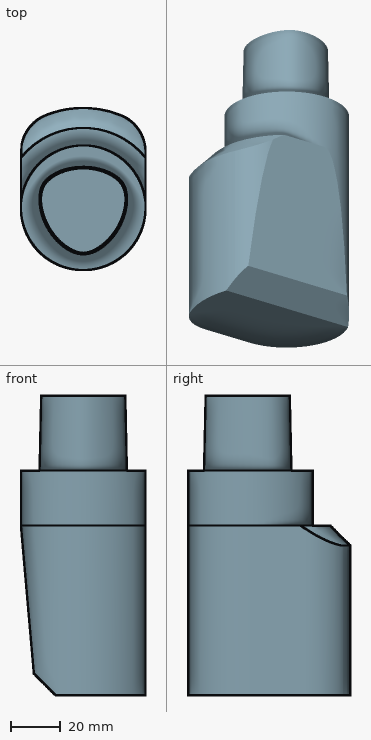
import cadquery as cq
import math


shank_length = 30.0
shank_base_width = 35.1
shank_taper_angle = 1.25
shank_eccentricity = 1.12
shank_corner_angle = -90.0

collar_diameter = 49.98
collar_height = 22.0

body_height = 68.0
body_width = 50.0
body_back_radius = 40.0
body_corner_radius = 16.0

bevel_top_radius = 32.0

side_flat_angle = 5.0
lower_bevel_width = 14.0

body_top_z = -collar_height
body_bottom_z = body_top_z - body_height
body_half_width = body_width / 2


def shank_outline(width, z):
    """Constant-width rounded triangle at height z, as a function of a parameter from 0 to 1."""
    turn = math.radians(shank_corner_angle + 180)

    def point(t):
        angle = 2 * math.pi * t
        support = width / 2 - shank_eccentricity * math.cos(3 * angle)
        slope = 3 * shank_eccentricity * math.sin(3 * angle)
        return (
            support * math.cos(angle + turn) - slope * math.sin(angle + turn),
            support * math.sin(angle + turn) + slope * math.cos(angle + turn),
            z,
        )

    return point


def make_shank():
    top_width = shank_base_width - 2 * shank_length * math.tan(math.radians(shank_taper_angle))
    return (
        cq.Workplane("XY")
        .parametricCurve(shank_outline(shank_base_width, 0.0))
        .parametricCurve(shank_outline(top_width, shank_length))
        .loft(ruled=True)
    )


def make_collar():
    return cq.Workplane("XY").circle(collar_diameter / 2).extrude(-collar_height)


def make_body():
    corner_x = body_half_width - body_corner_radius
    corner_distance = body_back_radius - body_corner_radius
    corner_y = math.sqrt(corner_distance**2 - corner_x**2)
    join_x = corner_x * body_back_radius / corner_distance
    join_y = corner_y * body_back_radius / corner_distance
    mid_angle = math.atan2(corner_y, corner_x) / 2
    mid_x = corner_x + body_corner_radius * math.cos(mid_angle)
    mid_y = corner_y + body_corner_radius * math.sin(mid_angle)
    return (
        cq.Workplane("XY", origin=(0, 0, body_bottom_z))
        .moveTo(-body_half_width, 0)
        .threePointArc((0, -body_half_width), (body_half_width, 0))
        .lineTo(body_half_width, corner_y)
        .threePointArc((mid_x, mid_y), (join_x, join_y))
        .threePointArc((0, body_back_radius), (-join_x, join_y))
        .threePointArc((-mid_x, mid_y), (-body_half_width, corner_y))
        .close()
        .extrude(body_height)
    )


def make_bevel_envelope():
    """Cone widening downwards at 45 degrees, enclosing all the body except the bevelled edge."""
    bottom_radius = bevel_top_radius + body_height
    return (
        cq.Workplane("XZ")
        .moveTo(0, body_bottom_z)
        .lineTo(bottom_radius, body_bottom_z)
        .lineTo(bevel_top_radius, body_top_z)
        .lineTo(0, body_top_z)
        .close()
        .revolve(360, (0, 0, 0), (0, 1, 0))
    )


def make_side_cutter():
    """Material outside the sloping flat and its lower bevel, on the -X side."""
    slope = math.tan(math.radians(side_flat_angle))
    bevel_height = (lower_bevel_width - slope * body_height) / (1 - slope)
    flat_end_x = -body_half_width + slope * (body_height - bevel_height)
    return (
        cq.Workplane("XZ")
        .moveTo(-body_half_width, body_top_z)
        .lineTo(flat_end_x, body_bottom_z + bevel_height)
        .lineTo(-body_half_width + lower_bevel_width, body_bottom_z)
        .lineTo(-body_half_width, body_bottom_z)
        .close()
        .extrude(body_back_radius, both=True)
    )


body = make_body().intersect(make_bevel_envelope()).cut(make_side_cutter())
result = body.union(make_collar()).union(make_shank())